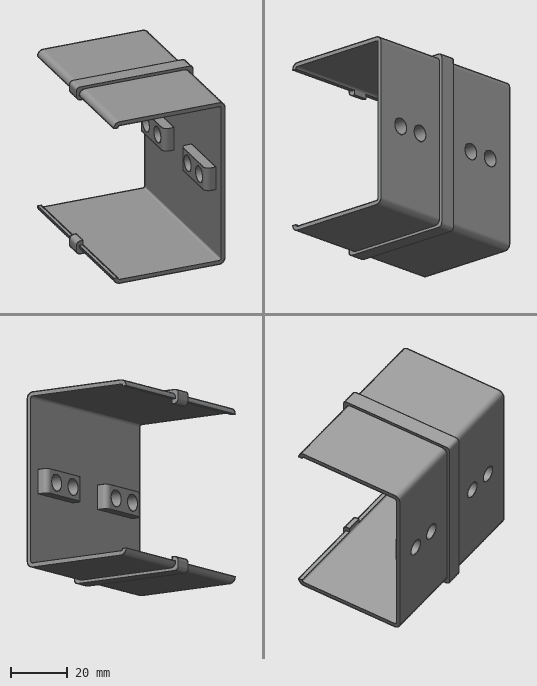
import cadquery as cq
import math

length = 66.0
depth = 45.0
height = 65.0

wall = 1.5
bend_radius = 2.3

band_width = 6.0
band_thickness = 1.05
band_corner_radius = 1.45
hook_height = 5.1
hook_depth = band_thickness + wall
hook_radius = 1.7

block_length = 21.0
block_height = 8.8
block_thickness = 4.0
block_corner_radius = 2.0
block_spacing = 36.0
hole_diameter = 6.0
hole_spacing = 9.9

channel_back = depth / 2 - band_thickness
channel_front = -channel_back
channel_top = height / 2 - band_thickness
inner_back = channel_back - wall
inner_top = channel_top - wall
inner_radius = bend_radius - wall
lip_level = channel_top - bend_radius
rear_bend_y = channel_back - bend_radius
front_bend_y = channel_front + bend_radius


def bend_middle(center_y, center_z, radius, y_sign):
    """Return the middle point of a quarter bend in the upper half."""
    offset = radius * math.sqrt(0.5)
    return center_y + y_sign * offset, center_z + offset


def extrude_centered(profile, width):
    """Extrude a YZ profile equally to both sides of X = 0."""
    return profile.extrude(width / 2, both=True)


def make_channel():
    """Build the upper half of the bent sheet and mirror it downward."""
    profile = (
        cq.Workplane("YZ")
        .moveTo(channel_back, 0)
        .lineTo(channel_back, lip_level)
        .threePointArc(bend_middle(rear_bend_y, lip_level, bend_radius, 1), (rear_bend_y, channel_top))
        .lineTo(front_bend_y, channel_top)
        .threePointArc(bend_middle(front_bend_y, lip_level, bend_radius, -1), (channel_front, lip_level))
        .lineTo(channel_front + wall, lip_level)
        .threePointArc(bend_middle(front_bend_y, lip_level, inner_radius, -1), (front_bend_y, inner_top))
        .lineTo(rear_bend_y, inner_top)
        .threePointArc(bend_middle(rear_bend_y, lip_level, inner_radius, 1), (inner_back, lip_level))
        .lineTo(inner_back, 0)
        .close()
    )
    upper_half = extrude_centered(profile, length)
    return upper_half.union(upper_half.mirror("XY"))


def make_band():
    """Build the upper half of the band, hooked under the channel lip, and mirror it downward."""
    band_back = depth / 2
    band_front = -depth / 2
    band_top = height / 2
    hook_bottom = band_top - hook_height
    hook_inner_y = band_front + hook_depth
    corner_z = band_top - band_corner_radius
    rear_corner_y = band_back - band_corner_radius
    front_corner_y = band_front + band_corner_radius
    hook_center_y = band_front + hook_radius
    hook_center_z = hook_bottom + hook_radius
    hook_offset = hook_radius * math.sqrt(0.5)
    hook_middle = (hook_center_y - hook_offset, hook_center_z - hook_offset)

    profile = (
        cq.Workplane("YZ")
        .moveTo(band_back, 0)
        .lineTo(band_back, corner_z)
        .threePointArc(bend_middle(rear_corner_y, corner_z, band_corner_radius, 1), (rear_corner_y, band_top))
        .lineTo(front_corner_y, band_top)
        .threePointArc(bend_middle(front_corner_y, corner_z, band_corner_radius, -1), (band_front, corner_z))
        .lineTo(band_front, hook_center_z)
        .threePointArc(hook_middle, (hook_center_y, hook_bottom))
        .lineTo(hook_inner_y, hook_bottom)
        .lineTo(hook_inner_y, lip_level)
        .threePointArc(bend_middle(front_bend_y, lip_level, inner_radius, -1), (front_bend_y, inner_top))
        .lineTo(rear_bend_y, inner_top)
        .threePointArc(bend_middle(rear_bend_y, lip_level, inner_radius, 1), (inner_back, lip_level))
        .lineTo(inner_back, 0)
        .close()
    )
    upper_half = extrude_centered(profile, band_width)
    return upper_half.union(upper_half.mirror("XY"))


def make_block(center_x):
    """Build one block with rounded front ends against the back wall."""
    return (
        cq.Workplane("XY")
        .box(block_length, block_thickness, block_height)
        .edges("|Z and <Y").fillet(block_corner_radius)
        .translate((center_x, inner_back - block_thickness / 2, 0))
    )


result = make_channel().union(make_band())
block_centers = [-block_spacing / 2, block_spacing / 2]
for block_x in block_centers:
    result = result.union(make_block(block_x))

hole_points = [(x + side * hole_spacing / 2, 0) for x in block_centers for side in (-1, 1)]
holes = (
    cq.Workplane("XZ", origin=(0, depth / 2, 0))
    .pushPoints(hole_points)
    .circle(hole_diameter / 2)
    .extrude(depth / 2)
)
result = result.cut(holes)